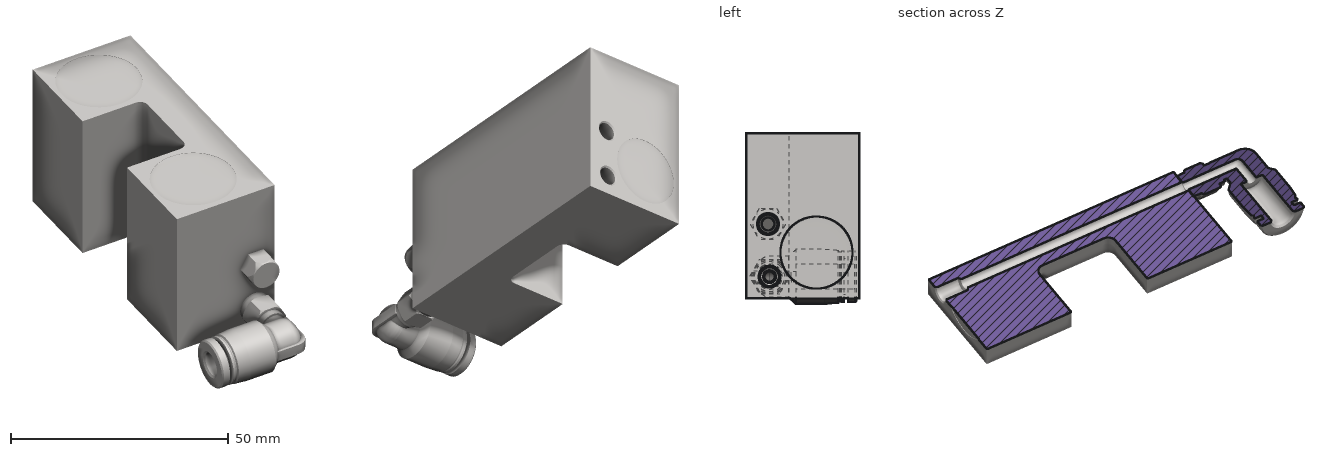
import cadquery as cq
import math

OVERALL_X = 86.35

BLOCK_X, BLOCK_Y, BLOCK_Z = 66.0, 26.0, 38.0
SLOT_WIDTH = 20.4
SLOT_FLOOR_Y = 16.15
SLOT_FILLET = 2.0
LEG_WIDTH = (BLOCK_X - SLOT_WIDTH) / 2

SEAT_DEPTH = 0.1
TOP_SEAT_RADIUS = 10.0
TOP_SEAT_Y = 11.0
SIDE_SEAT_RADIUS = 8.3
SIDE_SEAT_Y, SIDE_SEAT_Z = 9.85, 10.5

PORT_RADIUS = 2.2
PORT_RIM_RADIUS = 2.5
PORT_DEPTH = 6.05
PASSAGE_RADIUS = 1.5
DRILL_TIP_ANGLE = 118
PLUG_Y, PLUG_Z = 21.0, 17.1
INLET_Y, INLET_Z = 20.6, 5.0
BLIND_PASSAGE_DEPTH = 10.4

PLUG_FLATS = 7.1
PLUG_LENGTH = 4.9
PLUG_BEVEL_LENGTH = 1.6
PLUG_END_RADIUS = 3.45

COLLAR_LENGTH = 0.6
COLLAR_RADIUS = 3.8
SEAL_LENGTH = 1.4
SEAL_RADIUS = 3.9
NUT_FLATS = 7.95
NUT_LENGTH = 5.1
NUT_BEVEL = 0.4
NECK_LENGTH = 1.55
NECK_RADIUS = 3.45
ARM_RADIUS = 2.9

OUTLET_RADIUS = 6.3
OUTLET_X = OVERALL_X - OUTLET_RADIUS
DOME_Y = 23.4
DOME_FILLET = 2.85
STEM_RADIUS = 4.75
CONE_TOP_Y = 16.2
CONE_BASE_Y = 14.5
TAPER_TOP_Y = 7.95
TAPER_BASE_Y = 4.8
TAPER_RADIUS = 6.05
GROOVE_RADIUS = 5.6
GROOVE_BEVEL = 0.3
LIP_TOP_Y = 4.1
LIP_RADIUS = 5.9
LIP_BASE_Y = 3.5
RELEASE_NECK_RADIUS = 4.15
FLANGE_TOP_Y = 2.6
FLANGE_RADIUS = LIP_RADIUS
FLANGE_BEVEL = 0.35
MOUTH_Y = 0.6
TUBE_BORE_RADIUS = 2.85
TUBE_BORE_BEVEL = 0.4
TUBE_STOP_Y = CONE_BASE_Y
ELBOW_BORE_RADIUS = 1.2

WEB_HALF_THICKNESS = 1.3
WEB_TOP_Y = 24.2
WEB_REACH_X = 5.2
WEB_CORNER_RADIUS = 2.85


def cylinder_x(x_start, x_end, radius, y, z):
    """Cylinder along X, centred on (y, z)."""
    return cq.Workplane("YZ", origin=(x_start, y, z)).circle(radius).extrude(x_end - x_start)


def revolve_x(points, y, z):
    """Revolve an outline of (x, radius) points around the X-parallel axis through (y, z)."""
    outline = cq.Workplane("XY", origin=(0, y, z)).polyline(points).close()
    return outline.revolve(360, (0, 0, 0), (1, 0, 0))


def hexagon_x(x_start, length, flats, y, z):
    """Hexagonal bar along X with flats on its top and bottom."""
    corner_diameter = flats / math.cos(math.pi / 6)
    return cq.Workplane("YZ", origin=(x_start, y, z)).polygon(6, corner_diameter).extrude(length)


def port_cutter(y, z, passage_end_x):
    """Port with a bevelled rim, a drill-tip shoulder and a narrower passage up to passage_end_x."""
    rim_depth = PORT_RIM_RADIUS - PORT_RADIUS
    tip_length = (PORT_RADIUS - PASSAGE_RADIUS) / math.tan(math.radians(DRILL_TIP_ANGLE / 2))
    points = [
        (0, 0),
        (0, PORT_RIM_RADIUS),
        (rim_depth, PORT_RADIUS),
        (PORT_DEPTH, PORT_RADIUS),
        (PORT_DEPTH + tip_length, PASSAGE_RADIUS),
        (passage_end_x, PASSAGE_RADIUS),
        (passage_end_x, 0),
    ]
    return revolve_x(points, y, z)


def make_block():
    block = cq.Workplane("XY").box(BLOCK_X, BLOCK_Y, BLOCK_Z, centered=False)

    slot = (
        cq.Workplane("XY")
        .box(SLOT_WIDTH, SLOT_FLOOR_Y, BLOCK_Z, centered=False)
        .edges("|Z and >Y")
        .fillet(SLOT_FILLET)
        .translate((LEG_WIDTH, 0, 0))
    )
    block = block.cut(slot)

    for leg_x in (LEG_WIDTH / 2, BLOCK_X - LEG_WIDTH / 2):
        seat_origin = (leg_x, TOP_SEAT_Y, BLOCK_Z - SEAT_DEPTH)
        seat = cq.Workplane("XY", origin=seat_origin).circle(TOP_SEAT_RADIUS).extrude(SEAT_DEPTH)
        block = block.cut(seat)
    block = block.cut(cylinder_x(0, SEAT_DEPTH, SIDE_SEAT_RADIUS, SIDE_SEAT_Y, SIDE_SEAT_Z))

    block = block.cut(port_cutter(PLUG_Y, PLUG_Z, BLIND_PASSAGE_DEPTH))
    return block.cut(port_cutter(INLET_Y, INLET_Z, BLOCK_X))


def make_plug():
    corner_radius = PLUG_FLATS / 2 / math.cos(math.pi / 6)
    end_x = BLOCK_X + PLUG_LENGTH
    envelope = revolve_x(
        [
            (BLOCK_X, 0),
            (BLOCK_X, corner_radius),
            (end_x - PLUG_BEVEL_LENGTH, corner_radius),
            (end_x, PLUG_END_RADIUS),
            (end_x, 0),
        ],
        PLUG_Y,
        PLUG_Z,
    )
    return hexagon_x(BLOCK_X, PLUG_LENGTH, PLUG_FLATS, PLUG_Y, PLUG_Z).intersect(envelope)


def make_nut(start_x, end_x):
    """Hexagonal nut of the elbow with both ends turned to a bevel."""
    corner_radius = NUT_FLATS / 2 / math.cos(math.pi / 6)
    envelope = cylinder_x(start_x, end_x, corner_radius, INLET_Y, INLET_Z).edges().chamfer(NUT_BEVEL)
    return hexagon_x(start_x, end_x - start_x, NUT_FLATS, INLET_Y, INLET_Z).intersect(envelope)


def make_web(start_x):
    """L-shaped plate along the inlet arm and the outlet stem, rounded at its outer corner."""
    web_end_x = OUTLET_X + WEB_REACH_X
    return (
        cq.Workplane("XY", origin=(0, 0, INLET_Z))
        .moveTo(start_x, INLET_Y)
        .lineTo(OUTLET_X, INLET_Y)
        .lineTo(OUTLET_X, CONE_BASE_Y)
        .lineTo(web_end_x, CONE_BASE_Y)
        .lineTo(web_end_x, WEB_TOP_Y - WEB_CORNER_RADIUS)
        .radiusArc((web_end_x - WEB_CORNER_RADIUS, WEB_TOP_Y), -WEB_CORNER_RADIUS)
        .lineTo(start_x, WEB_TOP_Y)
        .close()
        .extrude(WEB_HALF_THICKNESS, both=True)
    )


def make_inlet():
    seal_x = BLOCK_X + COLLAR_LENGTH
    nut_x = seal_x + SEAL_LENGTH
    neck_x = nut_x + NUT_LENGTH
    arm_x = neck_x + NECK_LENGTH
    inlet = cylinder_x(BLOCK_X, seal_x, COLLAR_RADIUS, INLET_Y, INLET_Z)
    inlet = inlet.union(cylinder_x(seal_x, nut_x, SEAL_RADIUS, INLET_Y, INLET_Z))
    inlet = inlet.union(make_nut(nut_x, neck_x))
    inlet = inlet.union(cylinder_x(neck_x, arm_x, NECK_RADIUS, INLET_Y, INLET_Z))
    inlet = inlet.union(cylinder_x(arm_x, OUTLET_X, ARM_RADIUS, INLET_Y, INLET_Z))

    return inlet.union(make_web(arm_x))


def make_outlet():
    dome_side_y = DOME_Y - DOME_FILLET
    dome_flat_radius = STEM_RADIUS - DOME_FILLET
    arc_offset = DOME_FILLET * math.sqrt(0.5)
    outline = (
        cq.Workplane("XY", origin=(OUTLET_X, 0, INLET_Z))
        .moveTo(0, MOUTH_Y)
        .lineTo(FLANGE_RADIUS - FLANGE_BEVEL, MOUTH_Y)
        .lineTo(FLANGE_RADIUS, MOUTH_Y + FLANGE_BEVEL)
        .lineTo(FLANGE_RADIUS, FLANGE_TOP_Y)
        .lineTo(RELEASE_NECK_RADIUS, FLANGE_TOP_Y)
        .lineTo(RELEASE_NECK_RADIUS, LIP_BASE_Y)
        .lineTo(LIP_RADIUS, LIP_BASE_Y)
        .lineTo(LIP_RADIUS, LIP_TOP_Y)
        .lineTo(GROOVE_RADIUS, LIP_TOP_Y + GROOVE_BEVEL)
        .lineTo(GROOVE_RADIUS, TAPER_BASE_Y - GROOVE_BEVEL)
        .lineTo(TAPER_RADIUS, TAPER_BASE_Y)
        .lineTo(OUTLET_RADIUS, TAPER_TOP_Y)
        .lineTo(OUTLET_RADIUS, CONE_BASE_Y)
        .lineTo(STEM_RADIUS, CONE_TOP_Y)
        .lineTo(STEM_RADIUS, dome_side_y)
        .threePointArc(
            (dome_flat_radius + arc_offset, dome_side_y + arc_offset),
            (dome_flat_radius, DOME_Y),
        )
        .lineTo(0, DOME_Y)
        .close()
    )
    return outline.revolve(360, (0, 0, 0), (0, 1, 0))


def make_elbow_bore():
    """Tube socket and bore along Y, turning into the inlet bore along X in a round corner."""
    socket_and_bore = (
        cq.Workplane("XY", origin=(OUTLET_X, 0, INLET_Z))
        .polyline(
            [
                (0, MOUTH_Y),
                (TUBE_BORE_RADIUS + TUBE_BORE_BEVEL, MOUTH_Y),
                (TUBE_BORE_RADIUS, MOUTH_Y + TUBE_BORE_BEVEL),
                (TUBE_BORE_RADIUS, TUBE_STOP_Y),
                (ELBOW_BORE_RADIUS, TUBE_STOP_Y),
                (ELBOW_BORE_RADIUS, INLET_Y),
                (0, INLET_Y),
            ]
        )
        .close()
        .revolve(360, (0, 0, 0), (0, 1, 0))
    )
    inlet_bore = cylinder_x(BLOCK_X, OUTLET_X, ELBOW_BORE_RADIUS, INLET_Y, INLET_Z)
    corner = cq.Workplane("XY").sphere(ELBOW_BORE_RADIUS).translate((OUTLET_X, INLET_Y, INLET_Z))
    return socket_and_bore.union(inlet_bore).union(corner)


def make_elbow():
    return make_inlet().union(make_outlet()).cut(make_elbow_bore())


block = make_block()
plug = make_plug()
elbow = make_elbow()

result = cq.Compound.makeCompound([block.val(), plug.val(), elbow.val()])